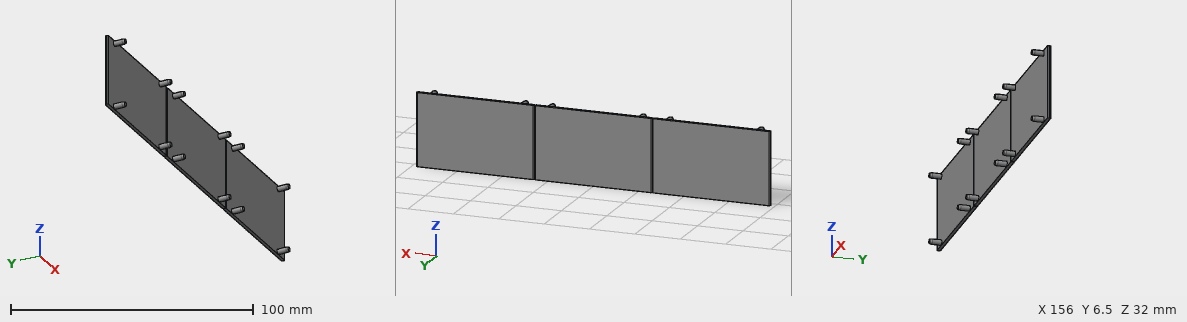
import cadquery as cq

panel_length = 156.0
panel_height = 32.0
plate_thickness = 1.5
plate_count = 3
plate_length = panel_length / plate_count

bevel_width = 0.5
bevel_depth = 0.5

pin_diameter = 2.3
pin_length = 5.0
pin_tip_chamfer_length = 1.0
pin_tip_chamfer_inset = 0.23
pin_spacing_x = 40.1
pin_spacing_z = 29.3

plate_centers = [(i - (plate_count - 1) / 2) * plate_length for i in range(plate_count)]


def make_plate():
    """One plate with both vertical ends beveled on the front and back faces."""
    end_x = plate_length / 2
    face_x = end_x - bevel_width
    bevel_back_y = plate_thickness - bevel_depth
    outline = [
        (-face_x, 0),
        (face_x, 0),
        (end_x, bevel_depth),
        (end_x, bevel_back_y),
        (face_x, plate_thickness),
        (-face_x, plate_thickness),
        (-end_x, bevel_back_y),
        (-end_x, bevel_depth),
    ]
    return (
        cq.Workplane("XY")
        .polyline(outline)
        .close()
        .extrude(panel_height / 2, both=True)
    )


def make_pins():
    """Four chamfered pins standing toward -Y at the corners of a plate."""
    return (
        cq.Workplane("XZ")
        .rect(pin_spacing_x, pin_spacing_z, forConstruction=True)
        .vertices()
        .circle(pin_diameter / 2)
        .extrude(pin_length)
        .faces("<Y")
        .chamfer(pin_tip_chamfer_length, pin_tip_chamfer_inset)
    )


plate_with_pins = make_plate().union(make_pins())

result = plate_with_pins.translate((plate_centers[0], 0, 0))
for center_x in plate_centers[1:]:
    result = result.union(plate_with_pins.translate((center_x, 0, 0)))